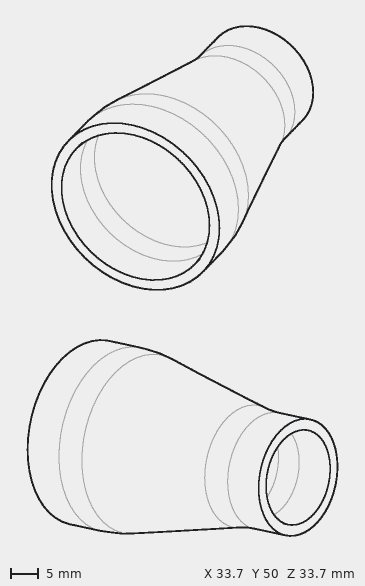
import cadquery as cq
import math

length = 50.0
large_radius = 33.7 / 2
small_radius = 21.3 / 2
wall = 2.0

stub_length = 7.5
bend_tangent = 2.55

corner_spacing = length - 2 * (stub_length + bend_tangent)
cone_angle = math.atan((large_radius - small_radius) / corner_spacing)
bend_radius = bend_tangent / math.tan(cone_angle / 2)


def bend_offset(radius, angle):
    """Inward step and advance along Y after turning through angle on a bend."""
    return radius * (1 - math.cos(angle)), radius * math.sin(angle)


def reducer_body(inset):
    """Solid of revolution about Y, inset evenly from the outer surface; large end at Y = 0."""
    large = large_radius - inset
    small = small_radius - inset
    large_bend_y = stub_length
    small_bend_y = length - stub_length

    large_mid_drop, large_mid_reach = bend_offset(bend_radius - inset, cone_angle / 2)
    large_drop, large_reach = bend_offset(bend_radius - inset, cone_angle)
    small_mid_drop, small_mid_reach = bend_offset(bend_radius + inset, cone_angle / 2)
    small_drop, small_reach = bend_offset(bend_radius + inset, cone_angle)

    profile = (
        cq.Workplane("XY")
        .lineTo(large, 0)
        .lineTo(large, large_bend_y)
        .threePointArc(
            (large - large_mid_drop, large_bend_y + large_mid_reach),
            (large - large_drop, large_bend_y + large_reach),
        )
        .lineTo(small + small_drop, small_bend_y - small_reach)
        .threePointArc(
            (small + small_mid_drop, small_bend_y - small_mid_reach),
            (small, small_bend_y),
        )
        .lineTo(small, length)
        .lineTo(0, length)
        .close()
    )
    return profile.revolve(360, (0, 0, 0), (0, 1, 0))


outside = reducer_body(0)
bore = reducer_body(wall)
result = outside.cut(bore)